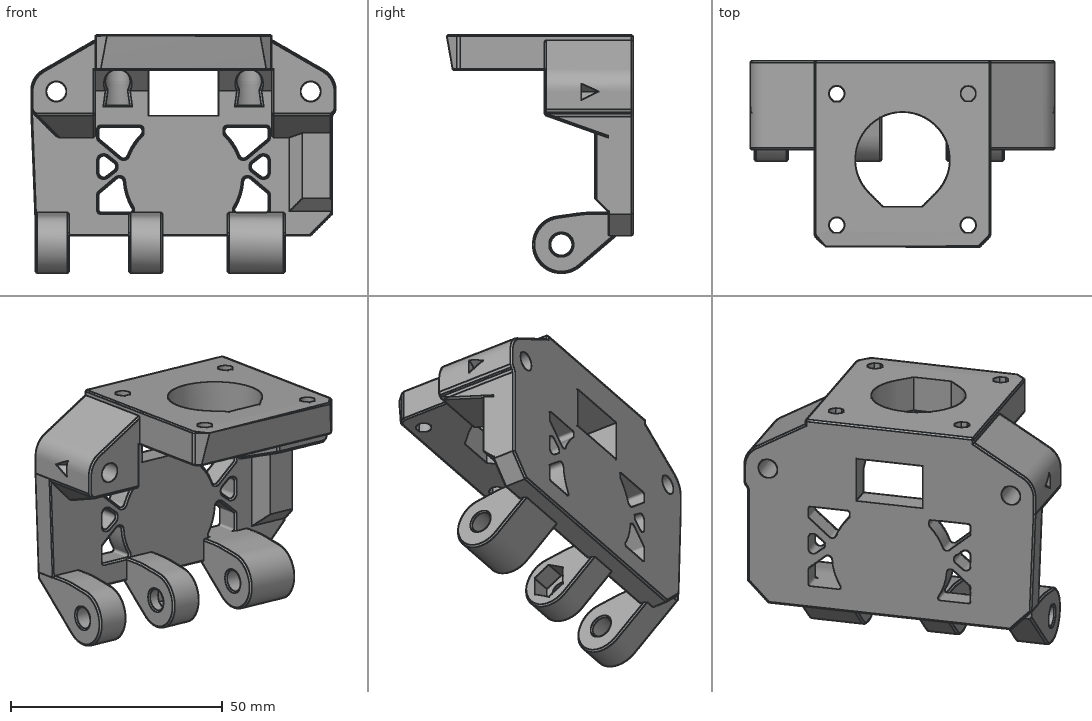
import cadquery as cq
import math


half_width = 36.0
plate_depth = 44.05
plate_top = 56.3
edge_chamfer = 0.4
over = 3.6

plate_half_width = 20.9
plate_thickness = 8.4
plate_bottom = plate_top - plate_thickness
plate_corner = 2.7
plate_front_draft = 1.45
plate_chamfer = 0.35
screw_spacing = 31.0
screw_radius = 1.8
back_screw_y = -7.8
motor_center_y = back_screw_y - screw_spacing / 2
motor_bore_radius = 11.15

wall_thickness = 6.0
wall_bottom = 8.85
wall_half_width = 35.05
wall_corner = 5.1
wall_chamfer = 0.3

brace_height = 4.75
brace_overlap = 2.15
head_diameter = 5.8
head_radius = head_diameter / 2
head_pocket_end_radius = 3.5
head_cone_top = 45.0
head_pocket_bottom = 39.65

ear_depth = 21.0
ear_hole_x = 30.0
ear_hole_z = 42.9
ear_hole_diameter = 4.7
ear_rounding = 5.7
ear_rounding_z = 43.0
ear_slope = math.radians(30)
ear_side_bottom = 38.3
ear_front_bottom = 37.35
ear_root_bottom = 32.0
ear_overlap = 2.15
notch_depth = 3.45
notch_half_height = 2.0
notch_front_y = -12.3
notch_tip_y = -8.2

pad_left = 25.0
pad_bottom = 14.6
pad_height = 3.1

lug_spans = [(-35.0, -27.0), (-12.9, -4.9), (10.35, 23.95)]
hinge_radius = 6.8
hinge_y = -17.0
hinge_hole_diameter = 5.1
hinge_hole_rim_diameter = 5.8
nut_across_flats = 8.05
nut_seat = 2.7
lug_top = 14.4
lug_top_angle = math.radians(8)
lug_top_blend = 24.5
lug_lower_angle = math.radians(40.5)

center_window_half_width = 8.2
center_window_bottom = 37.2
window_outer_x = 20.0
window_top = 34.5
window_bottom = lug_top
window_ring_radius = 14.2
window_ring_z = 22.7
upper_window_inner_x = 9.8
upper_window_tip_x = 13.7
upper_window_outer_z = 31.7
lower_window_tip_z = 23.75
lower_window_outer_z = 18.8
side_window_z = 25.2
side_window_half_height = 3.75
side_window_inner_x = 15.2
side_window_rounding = 1.15
window_rounding = 0.6
window_tip_rounding = 1.0


def prism_along_y(outline, front_y, back_y):
    """Extrude an XZ outline between two Y positions."""
    return outline(cq.Workplane("XZ", origin=(0, back_y, 0))).close().extrude(back_y - front_y)


def prism_along_x(points, left_x, right_x):
    """Extrude a polygon of (Y, Z) points between two X positions."""
    return cq.Workplane("YZ", origin=(left_x, 0, 0)).polyline(points).close().extrude(right_x - left_x)


def mirrored(solid):
    return solid.mirror("YZ")


def make_plate():
    """Plate with cut front corners and a front face that leans back towards the bottom."""
    side_end = plate_corner - plate_depth
    front_end = plate_half_width - plate_corner
    plan = (
        cq.Workplane("XY", origin=(0, 0, plate_bottom))
        .moveTo(-plate_half_width, 0)
        .lineTo(plate_half_width, 0)
        .lineTo(plate_half_width, side_end)
        .lineTo(front_end, -plate_depth)
        .lineTo(-front_end, -plate_depth)
        .lineTo(-plate_half_width, side_end)
        .close()
        .extrude(plate_thickness)
    )
    for side in (-1, 1):
        corner = (side * plate_half_width, side_end, plate_bottom + plate_thickness / 2)
        plan = plan.edges(cq.selectors.NearestToPointSelector(corner)).chamfer(edge_chamfer)
    profile = [
        (0, plate_bottom),
        (0, plate_top),
        (plate_chamfer - plate_depth, plate_top),
        (-plate_depth, plate_top - plate_chamfer),
        (plate_front_draft - plate_depth, plate_bottom),
    ]
    plate = plan.intersect(prism_along_x(profile, -plate_half_width, plate_half_width))
    plate = plate.faces("<Z").edges("not >Y").chamfer(plate_chamfer)
    return plate.faces(">Z").edges("not |X").chamfer(plate_chamfer)


def make_wall():
    """Upright wall with cut lower corners; its left side leans out to the ear."""
    def outline(sketch):
        return (
            sketch.moveTo(-plate_half_width, plate_bottom + plate_chamfer)
            .lineTo(-half_width + edge_chamfer, ear_hole_z)
            .lineTo(-half_width, ear_side_bottom)
            .lineTo(-wall_half_width, wall_bottom + wall_corner)
            .lineTo(-wall_half_width + wall_corner, wall_bottom)
            .lineTo(wall_half_width - wall_corner, wall_bottom)
            .lineTo(wall_half_width, wall_bottom + wall_corner)
            .lineTo(wall_half_width, ear_hole_z)
            .lineTo(plate_half_width, plate_bottom + plate_chamfer)
        )

    wall = prism_along_y(outline, -wall_thickness, 0)
    below_ears = cq.selectors.BoxSelector(
        (-half_width - over, -wall_thickness - over, 0), (half_width + over, 0, ear_side_bottom)
    )
    return wall.faces("<Y").edges(below_ears).chamfer(wall_chamfer)


def make_brace():
    """45 degree brace in the corner between wall and plate."""
    root = plate_bottom - brace_height
    rise = brace_height + brace_overlap
    back = -wall_thickness / 2
    points = [
        (back, root),
        (-wall_thickness, root),
        (-wall_thickness - rise, root + rise),
        (back, root + rise),
    ]
    return prism_along_x(points, -plate_half_width, plate_half_width)


def make_ear(lower_outline):
    """Left ear with a sloping underside; lower_outline is its lower outer edge, top to bottom."""
    rounding_x = -half_width + ear_rounding
    slope_start = (
        rounding_x - ear_rounding * math.sin(ear_slope),
        ear_rounding_z + ear_rounding * math.cos(ear_slope),
    )
    arc_turn = (math.pi / 2 - ear_slope) / 2
    arc_middle = (
        rounding_x - ear_rounding * math.cos(arc_turn),
        ear_rounding_z + ear_rounding * math.sin(arc_turn),
    )
    slope_end_z = slope_start[1] + (-plate_half_width - slope_start[0]) * math.tan(ear_slope)
    inside_plate_x = -plate_half_width + ear_overlap

    def outline(sketch):
        sketch = (
            sketch.moveTo(-plate_half_width, slope_end_z)
            .lineTo(*slope_start)
            .threePointArc(arc_middle, (-half_width, ear_rounding_z))
        )
        for point in lower_outline:
            sketch = sketch.lineTo(*point)
        return (
            sketch.lineTo(-plate_half_width, lower_outline[-1][1])
            .lineTo(-plate_half_width, plate_bottom)
            .lineTo(inside_plate_x, plate_bottom)
            .lineTo(inside_plate_x, slope_end_z)
        )

    ear = prism_along_y(outline, -ear_depth, 0)
    underside = [
        (-ear_depth - over, 0),
        (-ear_depth - over, ear_front_bottom),
        (-ear_depth, ear_front_bottom),
        (-wall_thickness, ear_root_bottom),
        (-wall_thickness, 0),
    ]
    ear = ear.cut(prism_along_x(underside, -half_width - over, 0))
    front_edges = cq.selectors.BoxSelector(
        (-half_width - 0.7, -ear_depth - 0.1, 0), (plate_half_width, -ear_depth + 0.1, plate_top)
    )
    underside_zone = cq.selectors.BoxSelector(
        (-half_width - 0.7, -ear_depth - 0.7, ear_root_bottom - 0.7),
        (plate_half_width, -wall_thickness - 0.1, ear_side_bottom + 0.1),
    )
    return ear.edges(front_edges + underside_zone).chamfer(edge_chamfer)


def make_pad():
    """Raised pad with 45 degree flanks on its left and lower sides."""
    root = -wall_thickness
    face = root - pad_height
    sunk = root / 2
    section = [
        (sunk, pad_bottom),
        (root, pad_bottom),
        (face, pad_bottom + pad_height),
        (face, ear_front_bottom),
        (sunk, ear_front_bottom),
    ]
    pad = prism_along_x(section, pad_left, wall_half_width)
    pad = pad.faces(">X").edges("<Y").chamfer(edge_chamfer)
    left_flank = (
        cq.Workplane("XY")
        .polyline([(pad_left, root), (pad_left + pad_height, face), (pad_left, face)])
        .close()
        .extrude(plate_top)
    )
    above_underside = [
        (root, ear_root_bottom),
        (-ear_depth, ear_front_bottom),
        (-ear_depth, plate_top),
        (root, plate_top),
    ]
    return pad.cut(left_flank).cut(prism_along_x(above_underside, 0, half_width))


def make_lug(left_x, right_x):
    """Teardrop lug around the hinge axis, running back into the wall."""
    top_tangent = (
        hinge_y - hinge_radius * math.sin(lug_top_angle),
        hinge_radius * (1 + math.cos(lug_top_angle)),
    )
    lower_tangent = (
        hinge_y + hinge_radius * math.sin(lug_lower_angle),
        hinge_radius * (1 - math.cos(lug_lower_angle)),
    )
    back_y = -edge_chamfer
    bend_y = top_tangent[0] + (lug_top - top_tangent[1]) / math.tan(lug_top_angle)
    lower_back_z = lower_tangent[1] + (back_y - lower_tangent[0]) * math.tan(lug_lower_angle)
    lug = (
        cq.Workplane("YZ", origin=(left_x, 0, 0))
        .moveTo(back_y, lower_back_z)
        .lineTo(back_y, lug_top)
        .lineTo(bend_y, lug_top)
        .lineTo(*top_tangent)
        .threePointArc((hinge_y - hinge_radius, hinge_radius), lower_tangent)
        .close()
        .extrude(right_x - left_x)
    )
    bend = cq.selectors.NearestToPointSelector(((left_x + right_x) / 2, bend_y, lug_top))
    lug = lug.edges(bend).fillet(lug_top_blend)
    return lug.faces("<X or >X").edges("not |Z").chamfer(edge_chamfer)


def make_hinge_hole(left_x, right_x):
    """Cutter for the hinge hole of one lug, with a bevelled rim at both ends."""
    hole_radius = hinge_hole_diameter / 2
    rim_radius = hinge_hole_rim_diameter / 2
    bevel = rim_radius - hole_radius
    profile = [
        (left_x, 0),
        (left_x, rim_radius),
        (left_x + bevel, hole_radius),
        (right_x - bevel, hole_radius),
        (right_x, rim_radius),
        (right_x, 0),
    ]
    hole = cq.Workplane("XY").polyline(profile).close().revolve(360, (0, 0, 0), (1, 0, 0))
    return hole.translate((0, hinge_y, hinge_radius))


def make_nut_pocket(left_x, right_x):
    """Cutter for a hexagonal nut pocket, corners up and down, open on the right of a lug."""
    corner_radius = nut_across_flats / math.sqrt(3)
    corners = [
        (
            hinge_y + corner_radius * math.sin(k * math.pi / 3),
            hinge_radius + corner_radius * math.cos(k * math.pi / 3),
        )
        for k in range(6)
    ]
    return prism_along_x(corners, left_x + nut_seat, right_x)


def make_flat_teardrop(x, y, radius):
    """Vertical cutter: a round hole squared off towards the front by 45 degree tangents."""
    tangent = radius / math.sqrt(2)
    flat_half = radius * (math.sqrt(2) - 1)
    return (
        cq.Workplane("XY", origin=(x, y, plate_bottom - over))
        .moveTo(-tangent, -tangent)
        .threePointArc((0, radius), (tangent, -tangent))
        .lineTo(flat_half, -radius)
        .lineTo(-flat_half, -radius)
        .close()
        .extrude(plate_thickness + 2 * over)
    )


def make_head_pocket(x):
    """Cutter for a screw head under the plate, widening downwards as a cone."""
    pocket_top = plate_bottom + brace_overlap + over
    profile = [
        (0, pocket_top),
        (head_radius, pocket_top),
        (head_radius, head_cone_top),
        (head_pocket_end_radius, head_pocket_bottom),
        (0, head_pocket_bottom),
    ]
    pocket = cq.Workplane("XZ").polyline(profile).close().revolve(360, (0, 0, 0), (0, 1, 0))
    return pocket.translate((x, back_screw_y, 0))


def make_ear_notch():
    """Cutter for a V notch in the side of the left ear, deepest at its front end."""
    valley = (-half_width + notch_depth, notch_front_y, ear_hole_z)
    tip = (-half_width, notch_tip_y, ear_hole_z)
    upper = (-half_width, notch_front_y, ear_hole_z + notch_half_height)
    lower = (-half_width, notch_front_y, ear_hole_z - notch_half_height)
    triangles = [
        (valley, upper, lower),
        (valley, upper, tip),
        (valley, lower, tip),
        (upper, lower, tip),
    ]
    faces = [
        cq.Face.makeFromWires(cq.Wire.makePolygon([cq.Vector(*p) for p in corners], close=True))
        for corners in triangles
    ]
    return cq.Workplane(cq.Solid.makeSolid(cq.Shell.makeShell(faces)))


def ring_offset(along):
    """Distance from one axis of the window ring to the ring, at a distance along the other axis."""
    return math.sqrt(window_ring_radius**2 - along**2)


def round_window(window, tip):
    """Round the upright corners of a window cutter, with a larger radius at the XZ point tip."""
    tip_edge = cq.selectors.NearestToPointSelector((tip[0], -wall_thickness / 2, tip[1]))
    upright = cq.selectors.ParallelDirSelector(cq.Vector(0, 1, 0))
    others = cq.selectors.SubtractSelector(upright, tip_edge)
    return window.edges(others).fillet(window_rounding).edges(tip_edge).fillet(window_tip_rounding)


def make_upper_window():
    tip_x = -upper_window_tip_x
    tip = (tip_x, window_ring_z + ring_offset(tip_x))
    middle_x = (tip_x - upper_window_inner_x) / 2

    def outline(sketch):
        return (
            sketch.moveTo(-window_outer_x, upper_window_outer_z)
            .lineTo(-window_outer_x, window_top)
            .lineTo(-upper_window_inner_x, window_top)
            .lineTo(-upper_window_inner_x, window_ring_z + ring_offset(upper_window_inner_x))
            .threePointArc((middle_x, window_ring_z + ring_offset(middle_x)), tip)
        )

    return round_window(prism_along_y(outline, -wall_thickness, 0), tip)


def make_lower_window():
    def on_ring(z):
        return (-ring_offset(z - window_ring_z), z)

    tip = on_ring(lower_window_tip_z)
    middle = on_ring((lower_window_tip_z + window_bottom) / 2)

    def outline(sketch):
        return (
            sketch.moveTo(-window_outer_x, lower_window_outer_z)
            .lineTo(*tip)
            .threePointArc(middle, on_ring(window_bottom))
            .lineTo(-window_outer_x, window_bottom)
        )

    return round_window(prism_along_y(outline, -wall_thickness, 0), tip)


def make_side_window():
    def outline(sketch):
        return (
            sketch.moveTo(-window_outer_x, side_window_z - side_window_half_height)
            .lineTo(-window_outer_x, side_window_z + side_window_half_height)
            .lineTo(-side_window_inner_x, side_window_z)
        )

    return prism_along_y(outline, -wall_thickness, 0).edges("|Y").fillet(side_window_rounding)


def make_center_window():
    """Opening under the plate that also splits the brace."""
    depth = wall_thickness + brace_height + over
    height = plate_bottom - center_window_bottom
    return (
        cq.Workplane("XY", origin=(0, over, center_window_bottom))
        .rect(2 * center_window_half_width, 2 * (depth + over))
        .extrude(height)
    )


frame = make_wall().union(make_brace())
screw_x = screw_spacing / 2
for x in (-screw_x, screw_x):
    frame = frame.cut(make_head_pocket(x))
    pocket_rim = cq.selectors.BoxSelector(
        (x - head_pocket_end_radius, back_screw_y - head_pocket_end_radius, head_pocket_bottom - 0.7),
        (x + head_pocket_end_radius, -wall_thickness + 0.01, plate_bottom + 0.7),
    )
    frame = frame.edges(pocket_rim).chamfer(plate_chamfer)

gusset_run = ear_side_bottom - ear_root_bottom
left_ear = make_ear([
    (-half_width, ear_side_bottom),
    (-half_width + gusset_run, ear_root_bottom),
])
right_ear = mirrored(make_ear([
    (-half_width, ear_side_bottom),
    (-wall_half_width, ear_side_bottom - (half_width - wall_half_width)),
    (-wall_half_width, ear_root_bottom),
]))
frame = frame.union(make_plate()).union(left_ear).union(right_ear).union(make_pad())
frame = frame.faces(">Y").chamfer(edge_chamfer)

frame = frame.cut(make_center_window())
for make_window in (make_upper_window, make_side_window, make_lower_window):
    window = make_window()
    frame = frame.cut(window).cut(mirrored(window))
front_face = -wall_thickness
window_zone = cq.selectors.BoxSelector(
    (-plate_half_width, front_face - 0.1, window_bottom - 0.7),
    (plate_half_width, front_face + 0.1, window_top + 0.7),
)
frame = frame.edges(window_zone).chamfer(edge_chamfer)

frame = frame.cut(make_flat_teardrop(0, motor_center_y, motor_bore_radius))
for x in (-screw_x, screw_x):
    for y in (back_screw_y, back_screw_y - screw_spacing):
        frame = frame.cut(make_flat_teardrop(x, y, screw_radius))

ear_hole = (
    cq.Workplane("XZ", origin=(-ear_hole_x, 0, ear_hole_z))
    .circle(ear_hole_diameter / 2)
    .extrude(ear_depth)
)
for cutter in (ear_hole, make_ear_notch()):
    frame = frame.cut(cutter).cut(mirrored(cutter))

for left_x, right_x in lug_spans:
    frame = frame.union(make_lug(left_x, right_x)).cut(make_hinge_hole(left_x, right_x))
frame = frame.cut(make_nut_pocket(*lug_spans[1]))

result = frame